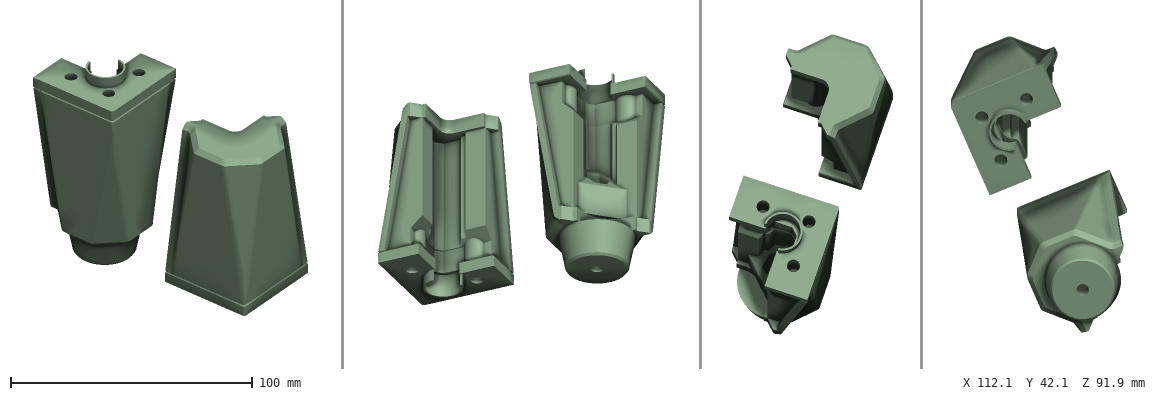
import cadquery as cq
import math


LEG_WIDTH = 42.1
ARM_WIDTH = 18.7
HOUSING_HEIGHT = 66.8
JOINT_CHAMFER = 0.5
CORNER_RADIUS = 1.1
OVERALL_LENGTH = 112.1
STANDING_JOINT_Z = 19.3

PLATE_THICKNESS = 5.0
TUBE_LENGTH = 5.0
TUBE_DIAMETER = 16.6
TUBE_BORE = 14.9
TUBE_END_SETBACK = 0.7
SCREW_HOLE_DIAMETER = 5.4
SCREW_EDGE_OFFSET = 10.1
SCREW_END_OFFSET = 12.0

BASE_THICKNESS = 6.3
BASE_LIP = 1.6
FLAP_LENGTH = 3.8
FLAP_THICKNESS = 2.8
ARM_TAPER_AT_JOINT = 0.1
ARM_TAPER = 11.9
CORNER_TAPER_AT_JOINT = -0.5
CORNER_TAPER = 11.4
VALLEY_RADIUS = 3.1
ARM_EDGE_RADIUS = 2.5
CORNER_EDGE_RADIUS = 3.5
END_CHAMFER = 2.0
HANGING_BASE_RADIUS = 15.1
STANDING_BASE_RADIUS = 4.3

RECESS_DEPTH = 5.4
RECESS_HEIGHT = 10.1
RECESS_SLOPE_HEIGHT = 4.8
RECESS_CORNER_CHAMFER = 2.9
BOSS_DIAMETER = 11.1
CHANNEL_X = 28.5
CHANNEL_LEDGE_X = 26.0
CHANNEL_LEDGE_LENGTH = 2.0
CHANNEL_LEDGE_Y = 27.7
CHANNEL_MOUTH_Y = 29.0
CHANNEL_SIDE_Y = 23.7

BLOCK_FRONT = 7.3
BLOCK_FRONT_HEIGHT = 14.0
HEX_ACROSS_FLATS = 9.5
HEX_TURN = -15

FOOT_HEIGHT = 15.1
FOOT_HOLE_DIAMETER = 5.0
COUNTERSINK_DIAMETER = 14.0
FOOT_TOP_RADIUS = 15.9
FOOT_MIDDLE_RADIUS = 14.8
FOOT_LOWER_RADIUS = 13.3
FOOT_EDGE_HEIGHT = 1.0
FOOT_BOTTOM_RADIUS = 12.5

CENTRE = LEG_WIDTH / 2
NOTCH_X = LEG_WIDTH - ARM_WIDTH
RECESS_X = NOTCH_X + RECESS_DEPTH
BASE_Z = HOUSING_HEIGHT - BASE_THICKNESS
OVERLAP = 1.1
SCREW_PLACES = [
    (SCREW_END_OFFSET, SCREW_EDGE_OFFSET),
    (LEG_WIDTH - SCREW_EDGE_OFFSET, SCREW_EDGE_OFFSET),
    (LEG_WIDTH - SCREW_EDGE_OFFSET, LEG_WIDTH - SCREW_END_OFFSET),
]
HANGING_JOINT_Z = FOOT_HEIGHT + HOUSING_HEIGHT


def across_diagonal(point):
    """Mirror image of a plan point across the leg's symmetry diagonal."""
    x, y = point
    return (LEG_WIDTH - y, LEG_WIDTH - x)


def symmetric_outline(half):
    """Closed plan outline from the points of one half and their mirror images."""
    return half + [across_diagonal(point) for point in reversed(half)]


def mirrored_across_diagonal(body):
    return body.mirror("YZ").rotate((0, 0, 0), (0, 0, 1), 90).translate((LEG_WIDTH, LEG_WIDTH, 0))


def prism(points, bottom, height):
    return cq.Workplane("XY").workplane(offset=bottom).polyline(points).close().extrude(height)


def cylinders(places, diameter, bottom, height):
    return cq.Workplane("XY").workplane(offset=bottom).pushPoints(places).circle(diameter / 2).extrude(height)


def notch_box(corner_x, bottom, height):
    """Square block that fills the open corner of the L up to corner_x."""
    size = corner_x + OVERLAP
    return (
        cq.Workplane("XY")
        .box(size, size, height, centered=False)
        .translate((-OVERLAP, LEG_WIDTH - corner_x, bottom))
    )


def square_envelope(bottom, height, joint_face):
    """Square block around the leg, rounded at the outer corner and chamfered around the joint."""
    block = cq.Workplane("XY").box(LEG_WIDTH, LEG_WIDTH, height, centered=False).translate((0, 0, bottom))
    block = block.edges("|Z and >X and <Y").fillet(CORNER_RADIUS)
    return block.faces(joint_face).chamfer(JOINT_CHAMFER)


def make_plate():
    """L-shaped plate with three screw holes and a locating tube around the corner of its notch."""
    tube_bottom = -PLATE_THICKNESS - TUBE_LENGTH
    tube_centre = [(NOTCH_X, ARM_WIDTH)]
    plate = square_envelope(-PLATE_THICKNESS, PLATE_THICKNESS, ">Z")
    plate = plate.cut(notch_box(NOTCH_X, -PLATE_THICKNESS, PLATE_THICKNESS))
    tube = cylinders(tube_centre, TUBE_DIAMETER, tube_bottom, TUBE_LENGTH)
    tube = tube.cut(notch_box(NOTCH_X + TUBE_END_SETBACK, tube_bottom, TUBE_LENGTH))
    plate = plate.union(tube)
    plate = plate.cut(cylinders(tube_centre, TUBE_BORE, tube_bottom, PLATE_THICKNESS + TUBE_LENGTH))
    return plate.cut(cylinders(SCREW_PLACES, SCREW_HOLE_DIAMETER, -PLATE_THICKNESS, PLATE_THICKNESS))


def arm_taper(z):
    """How far the outer side of an arm's end has moved in at height z."""
    return ARM_TAPER_AT_JOINT + (ARM_TAPER - ARM_TAPER_AT_JOINT) * z / HOUSING_HEIGHT


def housing_prism(base_radius):
    """Upright L with clipped arm ends, wide enough for the base lip, before it is tapered."""
    lip_y = ARM_WIDTH + BASE_LIP
    half = [
        (FLAP_LENGTH, lip_y),
        (FLAP_LENGTH, ARM_WIDTH),
        (0, ARM_WIDTH - FLAP_LENGTH),
        (0, 0),
    ]
    inner_corner = (LEG_WIDTH - lip_y, lip_y)
    outer_corner = (LEG_WIDTH, 0)
    outline = half + [outer_corner] + [across_diagonal(point) for point in reversed(half)] + [inner_corner]
    body = prism(outline, 0, HOUSING_HEIGHT)
    return body.edges(cq.NearestToPointSelector((*inner_corner, CENTRE))).fillet(base_radius)


def tangent_length(radius):
    """Distance from the vertex of a 135 degree corner to the ends of its rounding."""
    return radius * math.tan(math.pi / 8)


def slanted_cutter(section, at_joint, at_end):
    """Cutter that moves one plan section steadily from the joint to the end, then in along the end chamfer.

    The section's vertex is a 135 degree corner with one side along X, so moving both of its sides
    in by the chamfer moves the vertex across that side by the chamfer and along it by a fixed part.
    """
    wire = section.close().wires().val()
    chamfer_start = HOUSING_HEIGHT - END_CHAMFER
    share = chamfer_start / HOUSING_HEIGHT
    at_chamfer = [start + (end - start) * share for start, end in zip(at_joint, at_end)]
    at_top = (at_end[0] + tangent_length(END_CHAMFER), at_end[1] + END_CHAMFER)
    sections = [
        wire.moved(cq.Location(cq.Vector(x, y, z)))
        for (x, y), z in ((at_joint, 0), (at_chamfer, chamfer_start), (at_top, HOUSING_HEIGHT))
    ]
    return cq.Workplane(cq.Solid.makeLoft(sections, True))


def edge_rounding(radius):
    """Section outside the rounding between a side along +X and a 45 degree facet going to -X +Y."""
    tangent = tangent_length(radius)
    diagonal = tangent / math.sqrt(2)
    middle = math.radians(247.5)
    return (
        cq.Workplane("XY")
        .moveTo(-diagonal, diagonal)
        .lineTo(OVERLAP * math.cos(middle), OVERLAP * math.sin(middle))
        .lineTo(tangent, 0)
        .threePointArc(
            (tangent + radius * math.cos(middle), radius + radius * math.sin(middle)),
            (-diagonal, diagonal),
        )
    )


def arm_end_section():
    """Section cut from the outer side of an arm's end: flat, rounded valley, then a 45 degree facet."""
    tangent = tangent_length(VALLEY_RADIUS)
    diagonal = tangent / math.sqrt(2)
    middle = math.radians(67.5)
    return (
        cq.Workplane("XY")
        .moveTo(-CENTRE, 0)
        .lineTo(-tangent, 0)
        .threePointArc(
            (-tangent + VALLEY_RADIUS * math.cos(middle), -VALLEY_RADIUS + VALLEY_RADIUS * math.sin(middle)),
            (diagonal, -diagonal),
        )
        .lineTo(CENTRE, -CENTRE)
        .lineTo(-CENTRE, -CENTRE)
    )


def corner_section():
    """Section cut from a square corner by a 45 degree facet."""
    return cq.Workplane("XY").polyline([(CENTRE, -CENTRE), (-CENTRE, -CENTRE), (-CENTRE, CENTRE)])


def tapered_body(base_radius):
    """L whose arm ends and outer corner are cut back more and more towards the base."""
    arm_end = slanted_cutter(
        arm_end_section(),
        (FLAP_LENGTH, ARM_TAPER_AT_JOINT),
        (FLAP_LENGTH, ARM_TAPER),
    )
    arm_edge = slanted_cutter(
        edge_rounding(ARM_EDGE_RADIUS),
        (FLAP_LENGTH + ARM_TAPER_AT_JOINT, 0),
        (FLAP_LENGTH + ARM_TAPER, 0),
    )
    corner = slanted_cutter(
        corner_section(),
        (CORNER_TAPER_AT_JOINT - LEG_WIDTH, 0),
        (CORNER_TAPER - LEG_WIDTH, 0),
    ).mirror("YZ")
    corner_edge = slanted_cutter(
        edge_rounding(CORNER_EDGE_RADIUS),
        (CORNER_TAPER_AT_JOINT - LEG_WIDTH, 0),
        (CORNER_TAPER - LEG_WIDTH, 0),
    ).mirror("YZ")
    body = housing_prism(base_radius).cut(corner)
    for cutter in (arm_end, arm_edge, corner_edge):
        body = body.cut(cutter).cut(mirrored_across_diagonal(cutter))
    return body


def flap_gap():
    """Space behind the thin flap that carries an arm's tapered side past the arm's end."""
    profile = [
        (arm_taper(0) + FLAP_THICKNESS, 0),
        (arm_taper(BASE_Z) + FLAP_THICKNESS, BASE_Z),
        (CENTRE, BASE_Z),
        (CENTRE, 0),
    ]
    gap = cq.Workplane("YZ").polyline(profile).close().extrude(FLAP_LENGTH)
    return gap.union(mirrored_across_diagonal(gap))


def recess_outline(corner_x):
    """Open corner of the L up to corner_x, with its inner corner cut off."""
    corner_y = LEG_WIDTH - corner_x
    return [
        (-OVERLAP, corner_y),
        (corner_x - RECESS_CORNER_CHAMFER, corner_y),
        (corner_x, corner_y + RECESS_CORNER_CHAMFER),
        (corner_x, LEG_WIDTH + OVERLAP),
        (-OVERLAP, LEG_WIDTH + OVERLAP),
    ]


def joint_recess():
    """Deeper notch next to the joint, with a sloping end and a boss left around each arm's screw."""
    slope_end = RECESS_HEIGHT + RECESS_SLOPE_HEIGHT
    recess = prism(recess_outline(RECESS_X), 0, RECESS_HEIGHT)
    slope = (
        cq.Workplane("XY")
        .workplane(offset=RECESS_HEIGHT)
        .polyline(recess_outline(RECESS_X))
        .close()
        .workplane(offset=RECESS_SLOPE_HEIGHT)
        .polyline(recess_outline(NOTCH_X))
        .close()
        .loft(ruled=True, combine=True)
    )
    recess = recess.union(slope)
    arm_screws = [SCREW_PLACES[0], SCREW_PLACES[-1]]
    return recess.cut(cylinders(arm_screws, BOSS_DIAMETER, 0, slope_end))


def channel():
    """Upright channel in the inner corner of the L."""
    outline = symmetric_outline(
        [
            (CENTRE, CENTRE),
            across_diagonal((NOTCH_X, CHANNEL_MOUTH_Y)),
            across_diagonal((CHANNEL_LEDGE_X, CHANNEL_LEDGE_Y)),
            across_diagonal((CHANNEL_LEDGE_X, CHANNEL_LEDGE_Y - CHANNEL_LEDGE_LENGTH)),
            across_diagonal((CHANNEL_X, CHANNEL_SIDE_Y)),
            (CHANNEL_X - RECESS_CORNER_CHAMFER, LEG_WIDTH - CHANNEL_X),
        ]
    )[:-1]
    return prism(outline, 0, BASE_Z)


def inner_space():
    """Open corner of the L together with the channel behind it."""
    return notch_box(NOTCH_X, 0, BASE_Z).union(channel())


def hollow():
    """Everything that is removed from the inner side of the housing above its base."""
    return inner_space().union(joint_recess()).union(flap_gap())


def screw_block():
    """Block across the inner corner, with a 45 degree slope towards the joint."""
    front_z = BASE_Z - BLOCK_FRONT_HEIGHT
    slope_end = -BLOCK_FRONT + front_z
    profile = [(-BLOCK_FRONT, BASE_Z), (-BLOCK_FRONT, front_z), (slope_end, 0), (slope_end, BASE_Z)]
    diagonal_plane = cq.Plane(origin=(CENTRE, CENTRE, 0), xDir=(1, -1, 0), normal=(-1, -1, 0))
    wedge = cq.Workplane(diagonal_plane).polyline(profile).close().extrude(CENTRE, both=True)
    return wedge.intersect(inner_space())


def hex_socket():
    corner_diameter = HEX_ACROSS_FLATS / math.cos(math.pi / 6)
    socket = cq.Workplane("XY").polygon(6, corner_diameter).extrude(HOUSING_HEIGHT)
    return socket.rotate((0, 0, 0), (0, 0, 1), HEX_TURN).translate((CENTRE, CENTRE, 0))


def make_housing(base_radius, has_screw_block):
    envelope = square_envelope(0, HOUSING_HEIGHT, "<Z")
    envelope = envelope.edges(">Z and (<Y or >X)").chamfer(END_CHAMFER)
    housing = tapered_body(base_radius).intersect(envelope)
    housing = housing.cut(hollow())
    if has_screw_block:
        housing = housing.union(screw_block()).cut(hex_socket())
    return housing.cut(cylinders(SCREW_PLACES, SCREW_HOLE_DIAMETER, 0, RECESS_HEIGHT))


def make_foot():
    """Tapered round foot with a countersunk screw hole."""
    sink_depth = (COUNTERSINK_DIAMETER - FOOT_HOLE_DIAMETER) / 2
    foot = (
        cq.Workplane("XZ")
        .moveTo(FOOT_HOLE_DIAMETER / 2, 0)
        .lineTo(FOOT_BOTTOM_RADIUS, 0)
        .lineTo(FOOT_LOWER_RADIUS, FOOT_EDGE_HEIGHT)
        .threePointArc(
            (FOOT_MIDDLE_RADIUS, (FOOT_HEIGHT + FOOT_EDGE_HEIGHT) / 2),
            (FOOT_TOP_RADIUS, FOOT_HEIGHT),
        )
        .lineTo(COUNTERSINK_DIAMETER / 2, FOOT_HEIGHT)
        .lineTo(FOOT_HOLE_DIAMETER / 2, FOOT_HEIGHT - sink_depth)
        .close()
        .revolve(360, (0, 0, 0), (0, 1, 0))
    )
    return foot.translate((CENTRE, CENTRE, 0))


def hang(body):
    """Turn a leg body over, so that its housing hangs below its plate."""
    return body.mirror("XY").translate((0, 0, HANGING_JOINT_Z))


def stand(body):
    """Move a leg body to the far end, with its housing standing on its plate."""
    return body.translate((OVERALL_LENGTH - LEG_WIDTH, 0, STANDING_JOINT_Z))


foot = make_foot()
plates = [place(make_plate()) for place in (hang, stand)]
hanging_housing = hang(make_housing(HANGING_BASE_RADIUS, True))
standing_housing = stand(make_housing(STANDING_BASE_RADIUS, False))

result = cq.Compound.makeCompound(
    [foot.val(), hanging_housing.val(), standing_housing.val()] + [plate.val() for plate in plates]
)